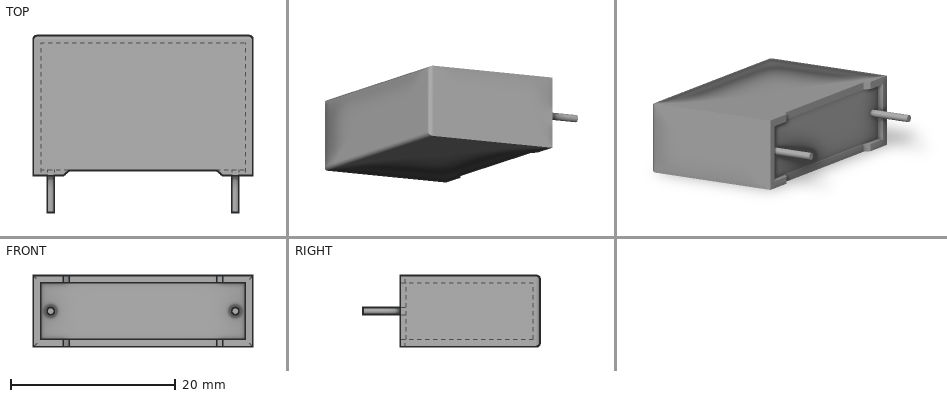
import cadquery as cq

case_width = 26.8
total_length = 21.6
case_height = 8.7
lead_reach = 4.53
case_depth = total_length - lead_reach

wall = 0.9
back_edge_radius = 0.5
notch_depth = 0.6
foot_width = 3.7
notch_ramp = 0.7

potting_recess = 0.72
lead_pitch = 22.5
lead_diameter = 0.88

cavity_width = case_width - 2 * wall
cavity_height = case_height - 2 * wall
cavity_depth = case_depth - wall


def box_along_y(width, height, y_start, y_end):
    """Box centred on X and Z that spans y_start to y_end."""
    length = y_end - y_start
    return cq.Workplane("XY").box(width, length, height).translate((0, y_start + length / 2, 0))


def make_rim_relief():
    """Trapezoidal cut through both long walls, narrowing away from the rim."""
    rim_half = case_width / 2 - foot_width
    floor_half = rim_half - notch_ramp
    return (
        cq.Workplane("XY")
        .polyline([(-rim_half, 0), (rim_half, 0), (floor_half, notch_depth), (-floor_half, notch_depth)])
        .close()
        .extrude(case_height / 2, both=True)
    )


def make_case():
    """Open box with rounded back edges, a cavity and a relieved rim."""
    shell = box_along_y(case_width, case_height, 0, case_depth)
    shell = shell.faces(">Y").edges().fillet(back_edge_radius)
    cavity = box_along_y(cavity_width, cavity_height, 0, cavity_depth)
    return shell.cut(cavity).cut(make_rim_relief())


def make_potting():
    """Resin block that fills the cavity up to the recess."""
    return box_along_y(cavity_width, cavity_height, potting_recess, cavity_depth)


def make_lead(x):
    """Round lead standing on the potting surface and pointing toward -Y."""
    return (
        cq.Workplane("XZ", origin=(x, potting_recess, 0))
        .circle(lead_diameter / 2)
        .extrude(potting_recess + lead_reach)
    )


case = make_case()
potting = make_potting()
leads = []
for side in (-1, 1):
    leads.append(make_lead(side * lead_pitch / 2).val())

result = cq.Compound.makeCompound([case.val(), potting.val(), *leads])